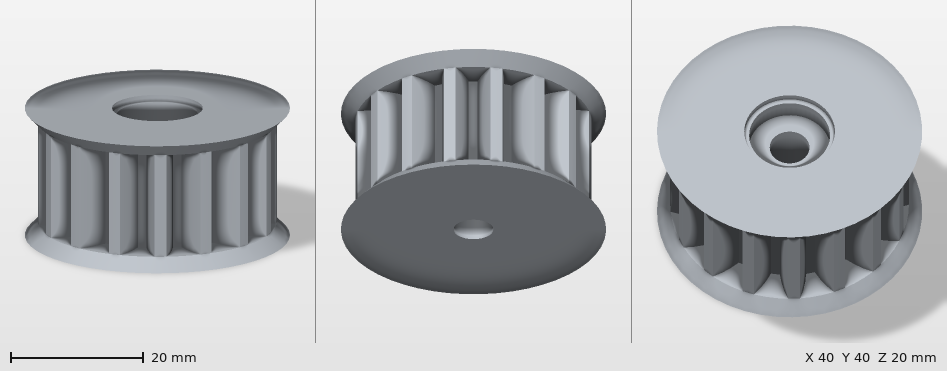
import cadquery as cq
import math

flange_diameter = 40.0
height = 20.0
flange_thickness = 2.0

tooth_count = 16
tip_radius = flange_diameter / 2 - flange_thickness
tip_width = 1.8
root_distance = 13.5
root_floor_width = 1.35
flank_bulge = 0.2

bore_diameter = 6.0
seat_diameter = 12.2
seat_depth = 4.0
recess_diameter = 13.7
recess_depth = 1.0

tooth_pitch = 360.0 / tooth_count


def flanged_blank():
    """Solid of revolution: a drum between two flanges that flare outwards."""
    flange_radius = flange_diameter / 2
    return (
        cq.Workplane("XZ")
        .moveTo(0, 0)
        .lineTo(flange_radius, 0)
        .lineTo(tip_radius, flange_thickness)
        .lineTo(tip_radius, height - flange_thickness)
        .lineTo(flange_radius, height)
        .lineTo(0, height)
        .close()
        .revolve(360, (0, 0, 0), (0, 1, 0))
    )


def tooth_gap(angle):
    """Cutter for the gap centred on the given angle, between the flanges."""
    half_tip_angle = math.asin(tip_width / 2 / tip_radius)
    mouth_angle = math.radians(tooth_pitch / 2) - half_tip_angle
    mouth_x = tip_radius * math.cos(mouth_angle)
    mouth_y = tip_radius * math.sin(mouth_angle)
    root_y = root_floor_width / 2

    run_x = mouth_x - root_distance
    run_y = mouth_y - root_y
    chord = math.hypot(run_x, run_y)
    flank_x = (mouth_x + root_distance) / 2 + flank_bulge * run_y / chord
    flank_y = (mouth_y + root_y) / 2 - flank_bulge * run_x / chord

    outer_x = flange_diameter / 2
    return (
        cq.Workplane("XY")
        .workplane(offset=flange_thickness)
        .moveTo(root_distance, -root_y)
        .threePointArc((flank_x, -flank_y), (mouth_x, -mouth_y))
        .lineTo(outer_x, -mouth_y)
        .lineTo(outer_x, mouth_y)
        .lineTo(mouth_x, mouth_y)
        .threePointArc((flank_x, flank_y), (root_distance, root_y))
        .close()
        .extrude(height - 2 * flange_thickness)
        .rotate((0, 0, 0), (0, 0, 1), angle)
    )


def cut_teeth(body):
    """Cut every gap, leaving teeth centred on the X and Y axes."""
    for index in range(tooth_count):
        body = body.cut(tooth_gap((index + 0.5) * tooth_pitch))
    return body


def cut_bore(body):
    """Through bore with a stepped bearing seat sunk into the top face."""
    top = body.faces(">Z").workplane(origin=(0, 0, height))
    bored = top.circle(bore_diameter / 2).cutThruAll()
    for diameter, depth in ((seat_diameter, seat_depth), (recess_diameter, recess_depth)):
        pocket = cq.Workplane("XY").workplane(offset=height - depth).circle(diameter / 2).extrude(depth)
        bored = bored.cut(pocket)
    return bored


result = cut_bore(cut_teeth(flanged_blank()))